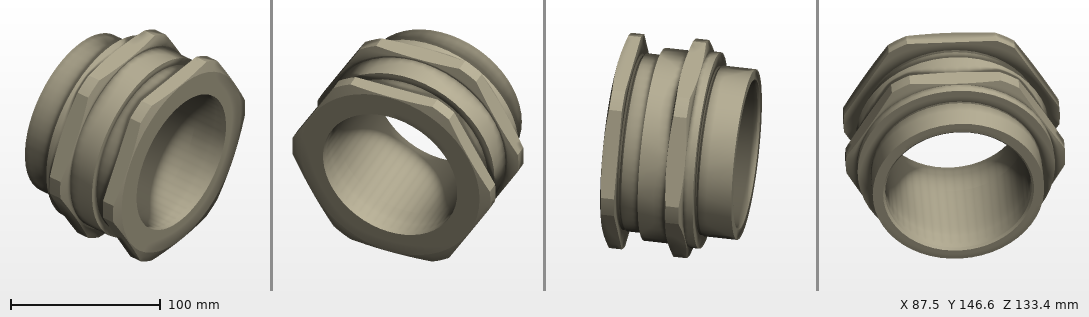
import cadquery as cq
import math

thread_end = 22.3
flange_start = 24.6
hex_start = 31.1
collar_start = 43.8
joint = 62.2
spigot_end = 74.0
nut_start = 77.0
total_length = 87.5

bore_radius = 49.0
thread_radius = 57.3
flange_radius = 66.0
collar_radius = 64.8
spigot_radius = 59.8

bore_chamfer = 1.5
thread_groove_depth = 1.5
spigot_groove_depth = 1.8

body_flat_distance = 133.4
body_corner_radius = 73.3
nut_flat_distance = 131.7
nut_corner_radius = 72.3
hex_chamfer_length = 1.9
hex_face_inset = 0.6


def cylinder(start, end, radius):
    """Solid cylinder on the X axis."""
    return cq.Workplane("YZ", origin=(start, 0, 0)).circle(radius).extrude(end - start)


def grooved_cylinder(start, groove_start, end, radius, groove_depth):
    """Cylinder that tapers in at 45 degrees, then flares out at 45 degrees up to its end."""
    valley = groove_start + groove_depth
    valley_radius = radius - groove_depth
    flare_radius = valley_radius + (end - valley)
    profile = [
        (start, 0),
        (start, radius),
        (groove_start, radius),
        (valley, valley_radius),
        (end, flare_radius),
        (end, 0),
    ]
    return cq.Workplane("XY").polyline(profile).close().revolve(360, (0, 0, 0), (1, 0, 0))


def turned_hexagon(start, end, flat_distance, corner_radius, chamfer_front):
    """Hexagon with corners turned round and its rear, and optionally front, edge coned."""
    hexagon = (
        cq.Workplane("YZ", origin=(start, 0, 0))
        .polygon(6, flat_distance / math.cos(math.pi / 6))
        .extrude(end - start)
    )
    chamfer_depth = corner_radius - (flat_distance / 2 - hex_face_inset)
    blank = cylinder(start, end, corner_radius)
    blank = blank.faces(">X").chamfer(hex_chamfer_length, chamfer_depth)
    if chamfer_front:
        blank = blank.faces("<X").chamfer(hex_chamfer_length, chamfer_depth)
    return hexagon.intersect(blank)


def make_threaded_body():
    """Entry thread, sealing flange, hexagon and collar with a through bore."""
    thread = grooved_cylinder(0, thread_end, flange_start, thread_radius, thread_groove_depth)
    flange = cylinder(flange_start, hex_start, flange_radius)
    hexagon = turned_hexagon(hex_start, collar_start, body_flat_distance, body_corner_radius, True)
    collar = cylinder(collar_start, joint, collar_radius)
    body = thread.union(flange).union(hexagon).union(collar)
    body = body.cut(cylinder(0, joint, bore_radius))
    bore_mouth = body.faces("<X").edges(cq.selectors.RadiusNthSelector(0))
    return bore_mouth.chamfer(bore_chamfer)


def make_nut():
    """Hexagonal nut with a round spigot that butts against the collar."""
    spigot = grooved_cylinder(joint, spigot_end, nut_start, spigot_radius, spigot_groove_depth)
    head = turned_hexagon(nut_start, total_length, nut_flat_distance, nut_corner_radius, False)
    nut = spigot.union(head)
    return nut.cut(cylinder(joint, total_length, bore_radius))


threaded_body = make_threaded_body()
nut = make_nut()
result = cq.Compound.makeCompound([threaded_body.val(), nut.val()])